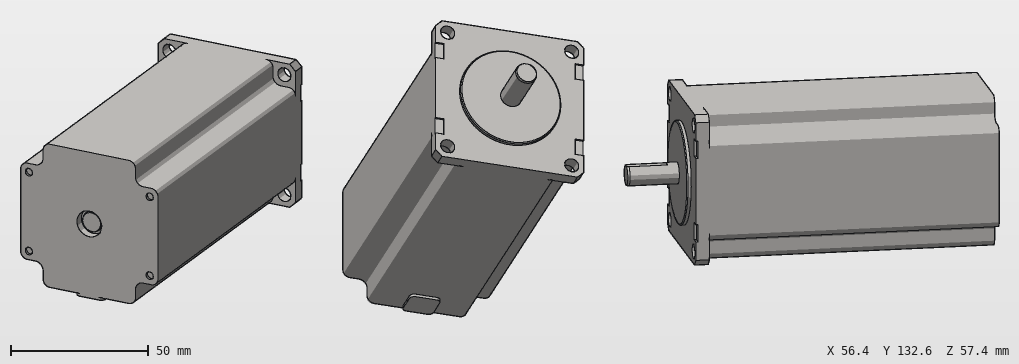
import cadquery as cq


total_length = 132.6
body_width = 56.4
half_width = body_width / 2

shaft_length = 20.5
shaft_radius = 4.0
flat_length = 15.0
flat_height = 3.6
tip_chamfer_length = 0.8
tip_chamfer_depth = 0.3

pilot_radius = 19.1
pilot_height = 1.6
pilot_chamfer = 0.4

flange_thickness = 5.0
flange_corner_radius = 38.2
mount_hole_offset = 23.6
mount_hole_radius = 2.7
edge_pocket_offset = 15.6
edge_pocket_width = 6.4
edge_pocket_reach = 3.2
edge_pocket_depth = 0.8

body_length = total_length - shaft_length
rear_y = -body_length
corner_step = 19.0
convex_radius = 2.8
concave_radius = 3.2

cover_length = 11.3
screw_offset_x = 24.8
screw_offset_z = 15.5
screw_hole_radius = 1.5
screw_hole_depth = 1.0
bore_radius = 5.0
bore_depth = 3.5
shaft_end_recess = 1.7

plug_width = 11.5
plug_drop = 1.0
plug_corner_radius = 1.9


def rod(radius, y_start, y_end, x=0.0, z=0.0):
    """Round bar parallel to Y between two Y positions."""
    axis = cq.Vector(0, 1, 0)
    cylinder = cq.Solid.makeCylinder(radius, y_end - y_start, cq.Vector(x, y_start, z), axis)
    return cq.Workplane(cylinder)


def box(x_size, y_size, z_size, center):
    """Axis-aligned block about a given center."""
    return cq.Workplane("XY").box(x_size, y_size, z_size).translate(center)


def mirrored_points(x, z):
    """The four points at (+-x, +-z)."""
    return [(sx * x, sz * z) for sx in (-1, 1) for sz in (-1, 1)]


def make_body():
    """Square bar with a stepped corner, rounded on both its outer and inner edges."""
    body = box(body_width, body_length, body_width, (0, -body_length / 2, 0))
    notch_size = half_width - corner_step
    notch_length = body_length - flange_thickness
    notch_y = rear_y + notch_length / 2
    notch_center = corner_step + notch_size / 2
    for x, z in mirrored_points(1, 1):
        notch = box(notch_size, notch_length, notch_size, (x * notch_center, notch_y, z * notch_center))
        inner_edge = cq.selectors.NearestToPointSelector((x * corner_step, notch_y, z * corner_step))
        body = body.cut(notch.edges(inner_edge).fillet(concave_radius))
    for x, z in mirrored_points(half_width, corner_step) + mirrored_points(corner_step, half_width):
        outer_edge = cq.selectors.NearestToPointSelector((x, notch_y, z))
        body = body.edges(outer_edge).fillet(convex_radius)
    return body.intersect(rod(flange_corner_radius, rear_y, 0))


def make_pilot():
    """Round locating boss on the flange, with a chamfered rim, sunk into the flange to join it."""
    pilot = rod(pilot_radius, -pilot_height, pilot_height)
    return pilot.faces(">Y").chamfer(pilot_chamfer)


def make_shaft():
    """Shaft running through the motor, with tapered ends and a flat at the output end."""
    shaft_rear = rear_y + shaft_end_recess
    end_radius = shaft_radius - tip_chamfer_depth
    profile = [
        (0, shaft_rear),
        (end_radius, shaft_rear),
        (shaft_radius, shaft_rear + tip_chamfer_length),
        (shaft_radius, shaft_length - tip_chamfer_length),
        (end_radius, shaft_length),
        (0, shaft_length),
    ]
    shaft = cq.Workplane("XY").polyline(profile).close().revolve(360, (0, 0), (0, 1))
    flat_cut_center = (0, shaft_length - flat_length / 2, flat_height + shaft_radius / 2)
    return shaft.cut(box(2 * shaft_radius, flat_length, shaft_radius, flat_cut_center))


def make_plug():
    """Rounded rectangular pad standing out below the rear cover, flush with its rear face."""
    bottom_z = -half_width - plug_drop
    top_z = -corner_step
    center = (0, rear_y + cover_length / 2, (bottom_z + top_z) / 2)
    plug = box(plug_width, cover_length, top_z - bottom_z, center)
    return plug.edges("|Z").fillet(plug_corner_radius)


motor = make_body().union(make_plug()).union(make_pilot())

for hole_x, hole_z in mirrored_points(mount_hole_offset, mount_hole_offset):
    motor = motor.cut(rod(mount_hole_radius, -flange_thickness, 0, hole_x, hole_z))

for screw_x, screw_z in mirrored_points(screw_offset_x, screw_offset_z):
    motor = motor.cut(rod(screw_hole_radius, rear_y, rear_y + screw_hole_depth, screw_x, screw_z))

for pocket_x, pocket_z in mirrored_points(half_width - edge_pocket_reach / 2, edge_pocket_offset):
    pocket_center = (pocket_x, -edge_pocket_depth / 2, pocket_z)
    motor = motor.cut(box(edge_pocket_reach, edge_pocket_depth, edge_pocket_width, pocket_center))

motor = motor.cut(rod(bore_radius, rear_y, rear_y + bore_depth))

result = motor.union(make_shaft())